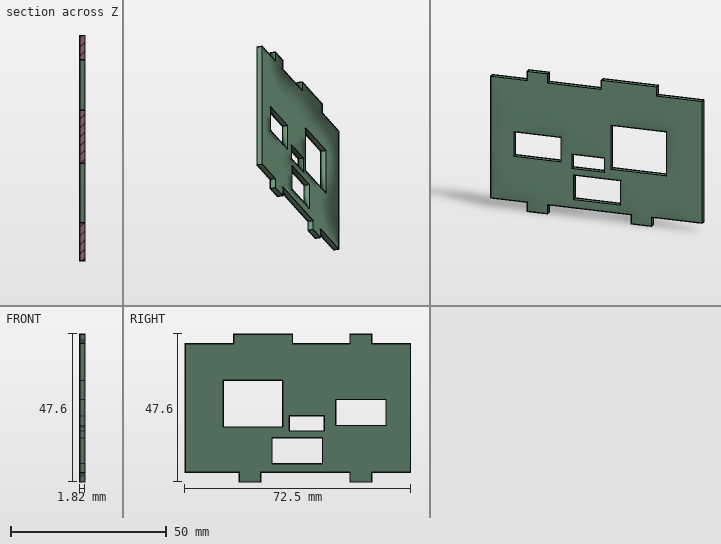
import cadquery as cq

thickness = 1.82
panel_length = 72.5
overall_height = 47.58
tab_height = 3.1
panel_height = overall_height - 2 * tab_height

narrow_tab_width = 7.0
wide_tab_width = 19.0
shared_tab_y = 20.25
wide_tab_y = -11.15
lower_tab_y = -15.4

port_size = (16.1, 8.3)
side_port_center = (20.25, -1.42)
lower_port_center = (-0.2, -13.7)
large_window_size = (19.05, 14.9)
large_window_center = (-14.45, 1.43)
small_slot_size = (11.15, 4.8)
small_slot_center = (2.85, -4.93)


def plate(size, center):
    """Block of panel thickness with the given YZ size and YZ centre."""
    width, height = size
    y, z = center
    return cq.Workplane("XY").box(thickness, width, height).translate((0, y, z))


def edge_tab(width, y, side):
    """Tab on the top (side = 1) or bottom (side = -1) edge of the panel."""
    z = side * (panel_height + tab_height) / 2
    return plate((width, tab_height), (y, z))


panel = plate((panel_length, panel_height), (0, 0))

tabs = [
    (narrow_tab_width, shared_tab_y, 1),
    (wide_tab_width, wide_tab_y, 1),
    (narrow_tab_width, shared_tab_y, -1),
    (narrow_tab_width, lower_tab_y, -1),
]
for tab_width, tab_y, tab_side in tabs:
    panel = panel.union(edge_tab(tab_width, tab_y, tab_side))

windows = [
    (port_size, side_port_center),
    (port_size, lower_port_center),
    (large_window_size, large_window_center),
    (small_slot_size, small_slot_center),
]
for window_size, window_center in windows:
    panel = panel.cut(plate(window_size, window_center))

result = panel